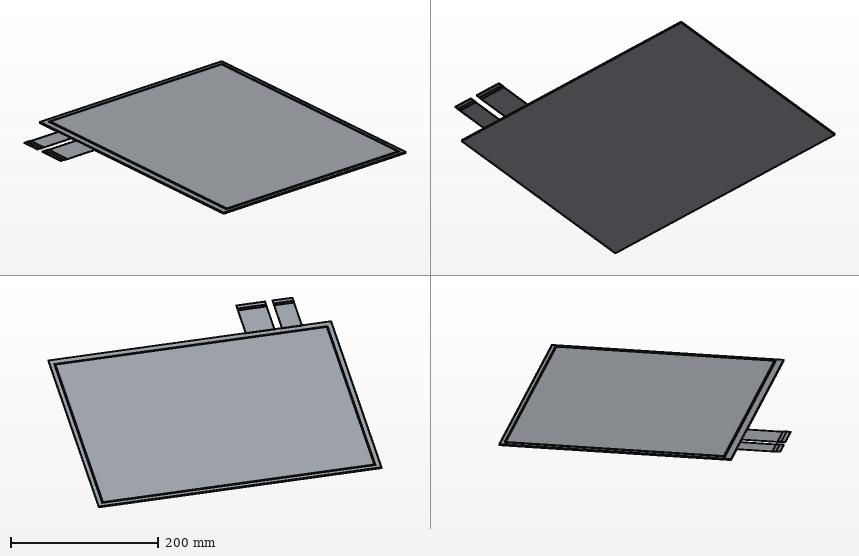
import cadquery as cq

panel_width = 392.5
panel_depth = 319.5
panel_thickness = 2.0
overall_depth = 380.0

lower_sheet_left_border = 7.0
lower_sheet_right_border = 6.0
lower_sheet_back_border = 6.0
lower_sheet_front_border = 9.5
lower_sheet_thickness = 0.2
upper_sheet_left_border = 8.5
upper_sheet_right_border = 7.5
upper_sheet_back_border = 7.5
upper_sheet_front_border = 11.5
upper_sheet_thickness = 0.2

tails = [(40.5, 28.0), (78.5, 40.0)]
tail_reach = overall_depth - panel_depth
tail_bottom = 1.0
tail_thickness = 0.5
tail_overlap = 6.0

pad_length = 10.5
pad_overhang = 6.0
pad_thickness = 0.6


def block(left, front, width, depth, bottom, thickness):
    """Flat rectangular plate placed by its left, front and bottom sides."""
    plate = cq.Workplane("XY").box(width, depth, thickness, centered=False)
    return plate.translate((left, front, bottom))


def sheet(left_border, right_border, back_border, front_border, bottom, thickness):
    """Sheet lying on the panel, set in from its edges by the given borders."""
    width = panel_width - left_border - right_border
    depth = panel_depth - back_border - front_border
    return block(left_border, front_border, width, depth, bottom, thickness)


def tail(left, width):
    """Thin strip leaving the front edge, with a pad on top that reaches past its end."""
    strip_reach = tail_reach - pad_overhang
    strip = block(left, -strip_reach, width, strip_reach + tail_overlap, tail_bottom, tail_thickness)
    pad = block(left, -tail_reach, width, pad_length, tail_bottom + tail_thickness, pad_thickness)
    return strip.union(pad)


result = block(0, 0, panel_width, panel_depth, 0, panel_thickness)
result = result.union(
    sheet(lower_sheet_left_border, lower_sheet_right_border,
          lower_sheet_back_border, lower_sheet_front_border,
          panel_thickness, lower_sheet_thickness)
)
result = result.union(
    sheet(upper_sheet_left_border, upper_sheet_right_border,
          upper_sheet_back_border, upper_sheet_front_border,
          panel_thickness + lower_sheet_thickness, upper_sheet_thickness)
)
for tail_left, tail_width in tails:
    result = result.union(tail(tail_left, tail_width))